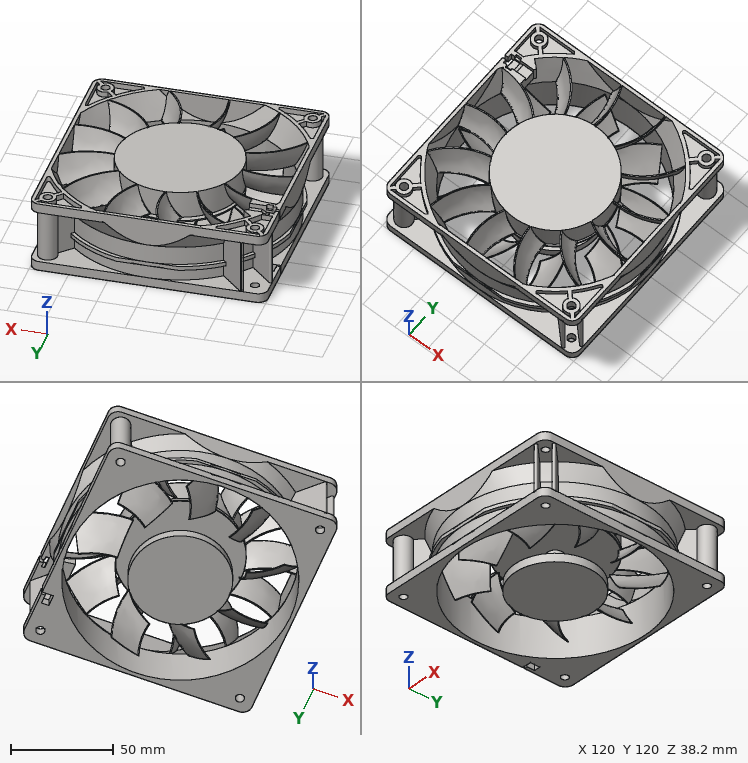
import cadquery as cq
import math

FRAME = 120.0
HALF = FRAME / 2
HEIGHT = 38.2
FLANGE = 5.0
CORNER_RADIUS = 5.0
RIM = 2.0
RIM_INSIDE = HALF - RIM
FLANGE_UNDERSIDE = HEIGHT - FLANGE

THROAT_RADIUS = RIM_INSIDE
DUCT_RADIUS = HALF
FLARE_START = 23.9
MOUTH_RADIUS = 63.8
FLARE_GROWTH = MOUTH_RADIUS - THROAT_RADIUS
BAND_RADIUS = 62.0
BAND_BOTTOM = 11.9
BAND_TOP = 14.0

SCREW_SPOT = 52.5
SCREW_HOLE = 4.5
POST_RADIUS = 5.0
BOSS_RADIUS = 4.3
POCKET_DEPTH = 2.9
POCKET_INNER_RADIUS = 66.0
POCKET_TIP_RADIUS = 1.0
WEB = 2.2
GUIDE_WALL = 1.8
WALL_START = THROAT_RADIUS - GUIDE_WALL
GUIDE_WALLS = [(135, 8.2, 75.5), (315, 4.5, 78.8)]

OUTLET_CORNER = 135
OUTLET_INNER_X = -44.0
OUTLET_LOW_Y = 27.5
OUTLET_RIM_LOW_Y = 29.8
OUTLET_POCKET_END_Y = 40.1
OUTLET_END_ANGLE = 138.0
OUTLET_BOTTOM = 28.8
CABLE_LOW_Y = 31.5
CABLE_HIGH_Y = 37.5
CABLE_FLOOR = 35.8
CABLE_STEP_FLOOR = 34.5
CABLE_SLOPE_TOP_X = -50.4
CABLE_STEP_X = -52.5
CABLE_HOLE_X = -56.3
CLIP_SLOT_X = -55.8
CLIP_SLOT_OVERHANG = 1.3
RELIEF_X = -52.8
BASE_HOLE_X = -54.1
TOP_SLIT_LOW_Y = 33.5
TOP_SLIT_WIDTH = 1.7
BASE_SLIT_WIDTH = 1.1

HUB_RADIUS = 32.3
ROTOR_PLATE_TOP = 22.0
ROTOR_PLATE = 0.7
SHAFT_RADIUS = 4.8
BASE_DISC_RADIUS = 25.7
VANE_COUNT = 13
VANE_THICKNESS = 0.7
BLADE_COUNT = 9
BLADE_THICKNESS = 0.6
BLADE_BOTTOM = 5.0
BLADE_TOP = 21.5
BURIED = 0.6


def block(x0, x1, y0, y1, z0, z1):
    """Box between two opposite corners."""
    return cq.Workplane("XY").box(x1 - x0, y1 - y0, z1 - z0, centered=False).translate((x0, y0, z0))


def cylinder(radius, bottom, top):
    return cq.Workplane("XY", origin=(0, 0, bottom)).circle(radius).extrude(top - bottom)


def polar(radius, degrees):
    angle = math.radians(degrees)
    return (radius * math.cos(angle), radius * math.sin(angle))


def rounded_square(bottom, top):
    plate = block(-HALF, HALF, -HALF, HALF, bottom, top)
    return plate.edges("|Z").fillet(CORNER_RADIUS)


def flared_body(radius, growth):
    """Solid of revolution: straight up to the flare, then widening by growth up to the top."""
    profile = [(0, 0), (radius, 0), (radius, FLARE_START), (radius + growth, HEIGHT), (0, HEIGHT)]
    return cq.Workplane("XZ").polyline(profile).close().revolve(360, (0, 0), (0, 1))


def air_passage(margin=0.0):
    """Open space inside the duct, squared off at the rim and optionally enlarged."""
    side = RIM_INSIDE + margin
    return flared_body(THROAT_RADIUS + margin, FLARE_GROWTH).intersect(
        block(-side, side, -side, side, 0, HEIGHT)
    )


def corner_web(degrees):
    """Upright wall along the diagonal from the duct to the screw post."""
    post_distance = SCREW_SPOT * math.sqrt(2)
    wall = block(THROAT_RADIUS, post_distance, -WEB / 2, WEB / 2, FLANGE, FLANGE_UNDERSIDE)
    return wall.rotate((0, 0, 0), (0, 0, 1), degrees)


def guide_walls(degrees, shift, reach):
    """Two round-ended upright walls, one on each side of a corner's diagonal."""
    walls = cq.Workplane("XY")
    for side in (shift, -shift):
        low_side = side - GUIDE_WALL / 2
        high_side = side + GUIDE_WALL / 2
        wall = block(WALL_START, reach, low_side, high_side, FLANGE, FLANGE_UNDERSIDE)
        round_end = cylinder(GUIDE_WALL / 2, FLANGE, FLANGE_UNDERSIDE).translate((reach, side, 0))
        walls = walls.union(wall.union(round_end))
    return walls.rotate((0, 0, 0), (0, 0, 1), degrees)


def corner_pockets(degrees):
    """Recess in the top flange beside the duct mouth, leaving a screw boss and a diagonal rib."""
    floor = HEIGHT - POCKET_DEPTH
    reach = math.sqrt(POCKET_INNER_RADIUS**2 - RIM_INSIDE**2)
    recess = (
        cq.Workplane("XY", origin=(0, 0, floor))
        .moveTo(RIM_INSIDE, reach)
        .lineTo(RIM_INSIDE, RIM_INSIDE)
        .lineTo(reach, RIM_INSIDE)
        .threePointArc(polar(POCKET_INNER_RADIUS, 45), (RIM_INSIDE, reach))
        .close()
        .extrude(POCKET_DEPTH)
    )
    span = RIM_INSIDE - reach
    tips = recess.edges("|Z").filter(lambda edge: abs(edge.Center().x - edge.Center().y) > span / 2)
    recess = tips.fillet(POCKET_TIP_RADIUS)
    boss = cylinder(BOSS_RADIUS, floor, HEIGHT).translate((SCREW_SPOT, SCREW_SPOT, 0))
    rib = block(0, FRAME, -WEB / 2, WEB / 2, floor, HEIGHT).rotate((0, 0, 0), (0, 0, 1), 45)
    return recess.cut(boss).cut(rib).rotate((0, 0, 0), (0, 0, 1), degrees - 45)


def frame_shell():
    shell = flared_body(DUCT_RADIUS, FLARE_GROWTH).union(cylinder(BAND_RADIUS, BAND_BOTTOM, BAND_TOP))
    for degrees in (45, 225):
        shell = shell.union(corner_web(degrees))
    for walls in GUIDE_WALLS:
        shell = shell.union(guide_walls(*walls))
    for spot in (SCREW_SPOT, -SCREW_SPOT):
        shell = shell.union(cylinder(POST_RADIUS, FLANGE, FLANGE_UNDERSIDE).translate((spot, spot, 0)))
    shell = shell.intersect(rounded_square(0, HEIGHT))
    shell = shell.union(rounded_square(0, FLANGE)).union(rounded_square(FLANGE_UNDERSIDE, HEIGHT))
    return shell.cut(air_passage())


def outlet_platform():
    """Flat infill across the duct mouth that carries the cable channel."""
    outline = [
        (-RIM_INSIDE - BURIED, OUTLET_RIM_LOW_Y),
        (OUTLET_INNER_X, OUTLET_LOW_Y),
        (OUTLET_INNER_X, CABLE_HIGH_Y),
        polar(THROAT_RADIUS, OUTLET_END_ANGLE),
        polar(MOUTH_RADIUS + BURIED, OUTLET_END_ANGLE),
        (-RIM_INSIDE - BURIED, CABLE_HIGH_Y + CLIP_SLOT_OVERHANG),
    ]
    platform = cq.Workplane("XY", origin=(0, 0, OUTLET_BOTTOM)).polyline(outline).close()
    return platform.extrude(HEIGHT - OUTLET_BOTTOM).intersect(flared_body(DUCT_RADIUS, FLARE_GROWTH))


def outlet_cuts():
    """Stepped cable channel, its clip slots, the space below it, and the slits in both flanges."""
    clip_low_y = CABLE_LOW_Y - CLIP_SLOT_OVERHANG
    clip_high_y = CABLE_HIGH_Y + CLIP_SLOT_OVERHANG
    channel = [
        (-RIM_INSIDE, HEIGHT),
        (-RIM_INSIDE, CABLE_STEP_FLOOR),
        (CABLE_STEP_X, CABLE_STEP_FLOOR),
        (CABLE_SLOPE_TOP_X, CABLE_FLOOR),
        (OUTLET_INNER_X, CABLE_FLOOR),
        (OUTLET_INNER_X, HEIGHT),
    ]
    cuts = (
        cq.Workplane("XZ", origin=(0, CABLE_HIGH_Y, 0))
        .polyline(channel)
        .close()
        .extrude(CABLE_HIGH_Y - CABLE_LOW_Y)
    )
    boxes = [
        (CLIP_SLOT_X, CABLE_STEP_X, clip_low_y, clip_high_y, CABLE_FLOOR, HEIGHT),
        (-RIM_INSIDE, CABLE_HOLE_X, CABLE_LOW_Y, CABLE_HIGH_Y, FLANGE_UNDERSIDE, HEIGHT),
        (-HALF, RELIEF_X, clip_low_y, clip_high_y, FLANGE, FLANGE_UNDERSIDE),
        (-HALF, -RIM_INSIDE, TOP_SLIT_LOW_Y, TOP_SLIT_LOW_Y + TOP_SLIT_WIDTH, FLANGE_UNDERSIDE, HEIGHT),
        (-RIM_INSIDE, BASE_HOLE_X, CABLE_LOW_Y, CABLE_HIGH_Y, 0, FLANGE),
        (-HALF, -RIM_INSIDE, CABLE_LOW_Y, CABLE_LOW_Y + BASE_SLIT_WIDTH, 0, FLANGE),
    ]
    for box in boxes:
        cuts = cuts.union(block(*box))
    return cuts


def curved_strip(stations, thickness, height):
    """Thin arc-shaped outline through three (radius, angle) stations at the given height."""
    half = thickness / 2
    root, middle, tip = [polar(*station) for station in stations]
    length = math.dist(root, tip)
    across = (-(tip[1] - root[1]) / length * half, (tip[0] - root[0]) / length * half)
    left = [cq.Vector(x + across[0], y + across[1], height) for x, y in (root, middle, tip)]
    right = [cq.Vector(x - across[0], y - across[1], height) for x, y in (root, middle, tip)]
    edges = [
        cq.Edge.makeThreePointArc(*left),
        cq.Edge.makeLine(left[2], right[2]),
        cq.Edge.makeThreePointArc(*reversed(right)),
        cq.Edge.makeLine(right[0], left[0]),
    ]
    return cq.Wire.assembleEdges(edges)


def guide_vanes():
    """Curved vanes leaning from the hub to the flared wall, steep above and flatter below."""
    middle_height = (FLARE_START + HEIGHT) / 2
    sections = [
        (HEIGHT, [(31.2, -3.6), (48.4, -5.0), (64.8, 1.0)]),
        (middle_height, [(31.2, 0.5), (46.2, -2.5), (61.8, 1.5)]),
        (FLARE_START, [(31.2, 11.0), (45.2, 2.9), (59.2, 4.1)]),
    ]
    wires = [curved_strip(stations, VANE_THICKNESS, height) for height, stations in sections]
    vane = cq.Workplane("XY").add(cq.Solid.makeLoft(wires, False))
    vanes = cq.Workplane("XY")
    for index in range(VANE_COUNT):
        vanes = vanes.union(vane.rotate((0, 0, 0), (0, 0, 1), 180 + index * 360 / VANE_COUNT))
    return vanes.intersect(air_passage(BURIED))


def rotor():
    """Pitched blades hanging from a thin plate below the hub."""
    middle_height = (BLADE_BOTTOM + BLADE_TOP) / 2
    sections = [
        (BLADE_TOP, [(31.2, 201.0), (42.0, 194.0), (57.6, 183.8)]),
        (middle_height, [(31.8, 192.0), (42.0, 186.0), (54.5, 178.5)]),
        (BLADE_BOTTOM, [(32.3, 176.0), (42.0, 175.0), (51.2, 171.6)]),
    ]
    wires = [curved_strip(stations, BLADE_THICKNESS, height) for height, stations in sections]
    blade = cq.Workplane("XY").add(cq.Solid.makeLoft(wires, False))
    wheel = cylinder(HUB_RADIUS, ROTOR_PLATE_TOP - ROTOR_PLATE, ROTOR_PLATE_TOP)
    for index in range(BLADE_COUNT):
        wheel = wheel.union(blade.rotate((0, 0, 0), (0, 0, 1), index * 360 / BLADE_COUNT))
    return wheel


frame = frame_shell().union(outlet_platform())
for corner in (45, 135, 225, 315):
    pockets = corner_pockets(corner)
    if corner == OUTLET_CORNER:
        pockets = pockets.cut(block(-HALF, OUTLET_INNER_X, 0, OUTLET_POCKET_END_Y, 0, HEIGHT))
    frame = frame.cut(pockets)

hub = cylinder(HUB_RADIUS, FLARE_START, HEIGHT)
shaft = cylinder(SHAFT_RADIUS, 0, FLARE_START)
base_disc = cylinder(BASE_DISC_RADIUS, 0, FLANGE)

result = frame.union(hub).union(guide_vanes()).union(rotor()).union(shaft).union(base_disc)
result = result.cut(outlet_cuts())
screw_spots = [(x, y) for x in (-SCREW_SPOT, SCREW_SPOT) for y in (-SCREW_SPOT, SCREW_SPOT)]
screw_holes = cq.Workplane("XY").pushPoints(screw_spots).circle(SCREW_HOLE / 2).extrude(HEIGHT)
result = result.cut(screw_holes)